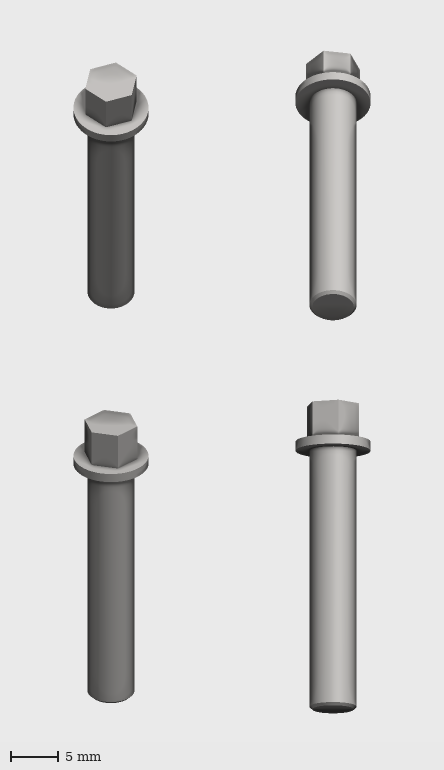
import cadquery as cq
import math

total_length = 33.0
shank_diameter = 5.0
flange_diameter = 8.0
flange_thickness = 1.0
head_height = 4.0
tip_chamfer = 0.3

hex_across_flats = shank_diameter
hex_across_corners = hex_across_flats / math.cos(math.pi / 6)

shank_length = total_length - flange_thickness - head_height
flange_top = shank_length + flange_thickness


def make_shank():
    """Round shank standing on Z = 0, chamfered at its free lower end."""
    shank = cq.Workplane("XY").circle(shank_diameter / 2).extrude(shank_length)
    return shank.faces("<Z").chamfer(tip_chamfer)


def make_flange():
    """Thin round collar between the shank and the head."""
    plane = cq.Workplane("XY").workplane(offset=shank_length)
    return plane.circle(flange_diameter / 2).extrude(flange_thickness)


def make_head():
    """Hexagonal head with two flats facing -X and +X."""
    plane = cq.Workplane("XY").workplane(offset=flange_top)
    head = plane.polygon(6, hex_across_corners).extrude(head_height)
    return head.rotate((0, 0, 0), (0, 0, 1), 90)


result = make_shank().union(make_flange()).union(make_head())